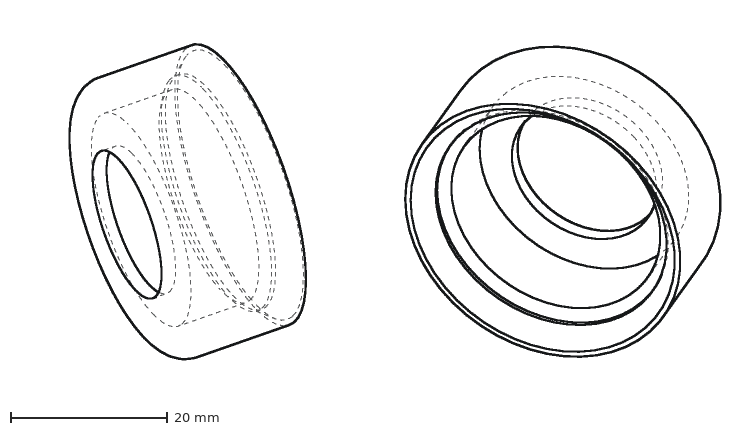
import cadquery as cq

outer_radius = 19.0
length = 16.2
edge_radius = 3.0

bore_radius = 10.0
lip_thickness = 2.0
recess_radius = 14.45
flare_start = 11.7
seat_radius = 15.95
seat_start = 12.75
seat_end = 13.35
mouth_radius = 18.25


def make_body():
    """Solid cylinder with a rounded front edge."""
    cylinder = cq.Workplane("XZ").circle(outer_radius).extrude(-length)
    return cylinder.faces("<Y").edges().fillet(edge_radius)


def make_cavity():
    """Stepped cavity, revolved about Y from its half profile."""
    profile = (
        cq.Workplane("XY")
        .moveTo(0, 0)
        .lineTo(bore_radius, 0)
        .lineTo(bore_radius, lip_thickness)
        .lineTo(recess_radius, lip_thickness)
        .lineTo(recess_radius, flare_start)
        .lineTo(seat_radius, seat_start)
        .lineTo(seat_radius, seat_end)
        .lineTo(mouth_radius, length)
        .lineTo(0, length)
        .close()
    )
    return profile.revolve(360, (0, 0, 0), (0, 1, 0))


result = make_body().cut(make_cavity())